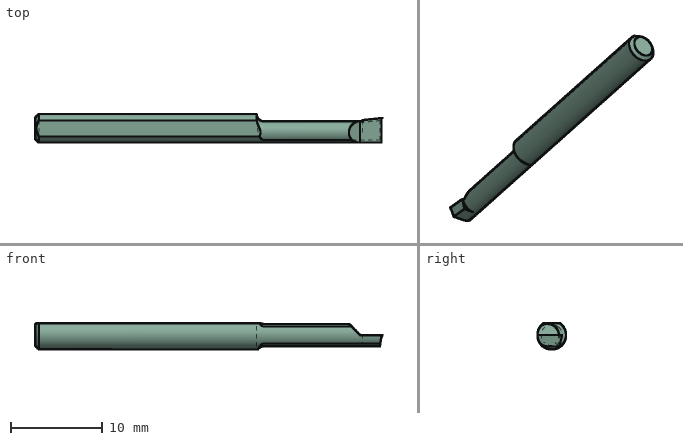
import cadquery as cq
import math

total_length = 38.1
shank_radius = 1.58
flat_height = 1.315
end_chamfer = 0.42

neck_radius = 1.24
neck_center_y = -0.45
neck_start = 25.07
shoulder_radius = 0.75

rake_height = 0.0
rake_start = 35.65
head_start = 35.93
head_root_y = 0.9
tip_y = 1.15
nose_length = 0.08
nose_width = 0.08
end_relief_angle = 9.0
side_relief_angle = 12.0

clearance = 2 * shank_radius


def make_shank():
    """Full-length bar with a chamfered rear end and the flat on top."""
    bar = cq.Workplane("YZ").circle(shank_radius).extrude(total_length)
    bar = bar.faces("<X").chamfer(end_chamfer)
    above_flat = cq.Workplane("XY").box(
        total_length, 2 * clearance, clearance, centered=(False, True, False)
    ).translate((0, 0, flat_height))
    return bar.cut(above_flat)


def make_neck_envelope():
    """Neck and everything behind it, with a concave round shoulder."""
    shoulder_start = neck_start - shoulder_radius
    shoulder_top = neck_radius + shoulder_radius
    arc_offset = shoulder_radius * math.sqrt(0.5)
    profile = (
        cq.Workplane("XY")
        .lineTo(0, clearance)
        .lineTo(shoulder_start, clearance)
        .lineTo(shoulder_start, shoulder_top)
        .threePointArc(
            (neck_start - arc_offset, shoulder_top - arc_offset),
            (neck_start, neck_radius),
        )
        .lineTo(total_length, neck_radius)
        .lineTo(total_length, 0)
        .close()
    )
    return profile.revolve(360, (0, 0), (1, 0)).translate((0, neck_center_y, 0))


def make_head():
    """Widened cutting head below the rake face, relieved on its +Y side."""
    side_relief = neck_radius * math.tan(math.radians(side_relief_angle))

    def outline(height, inset):
        return [
            (head_start, neck_center_y, height),
            (total_length, neck_center_y, height),
            (total_length, tip_y - inset, height),
            (head_start, head_root_y - inset, height),
        ]

    upper = cq.Wire.makePolygon([cq.Vector(*p) for p in outline(rake_height, 0)], close=True)
    lower = cq.Wire.makePolygon(
        [cq.Vector(*p) for p in outline(rake_height - neck_radius, side_relief)], close=True
    )
    return cq.Workplane(cq.Solid.makeLoft([lower, upper], True))


def make_rake_cut():
    """Material removed above the rake face and its ramp."""
    return (
        cq.Workplane("XZ")
        .moveTo(rake_start, rake_height)
        .lineTo(total_length, rake_height)
        .lineTo(total_length, rake_height + clearance)
        .lineTo(rake_start - clearance, rake_height + clearance)
        .close()
        .extrude(clearance, both=True)
    )


def make_end_cut():
    """Material ahead of the end face, which leans back below the nose."""
    lean = math.tan(math.radians(end_relief_angle))
    drop = cq.Vector(-clearance * lean, 0, -clearance)
    outline = [
        cq.Vector(total_length - nose_length, -clearance, rake_height),
        cq.Vector(total_length - nose_length, tip_y - nose_width, rake_height),
        cq.Vector(total_length, tip_y, rake_height),
        cq.Vector(total_length, clearance, rake_height),
        cq.Vector(total_length + clearance, clearance, rake_height),
        cq.Vector(total_length + clearance, -clearance, rake_height),
    ]
    face = cq.Face.makeFromWires(cq.Wire.makePolygon(outline, close=True))
    return cq.Workplane(cq.Solid.extrudeLinear(face, drop))


body = make_shank().intersect(make_neck_envelope())
head = make_head().intersect(make_shank())
result = body.union(head).cut(make_rake_cut()).cut(make_end_cut())